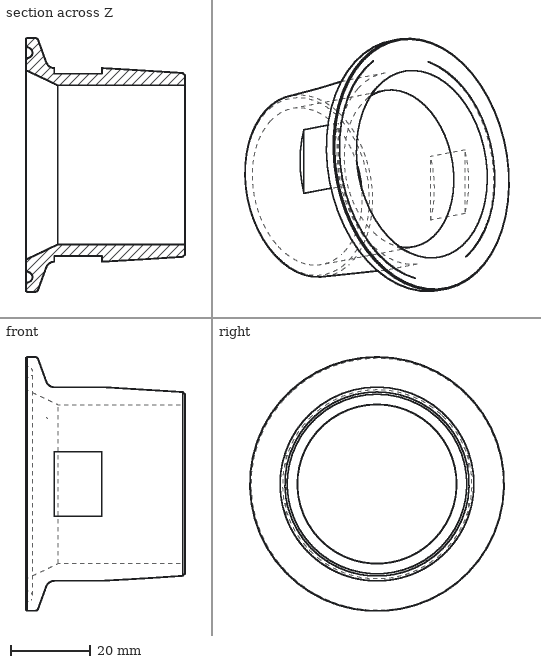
import cadquery as cq
import math

LENGTH = 40.0
FLANGE_RADIUS = 32.0

FACE_CHAMFER = 0.25
RIM_END = 2.25
BACK_SLOPE = 70.0
CORNER_RADIUS = 0.9
NECK_FILLET = 2.1

NECK_RADIUS = 24.4
TAPER_START = 19.7
TAPER_END_RADIUS = 23.2
END_CHAMFER = 0.6

FLAT_END = 19.1
FLAT_DISTANCE = 23.0

BORE_DIAMETER = 40.0
BORE_RADIUS = BORE_DIAMETER / 2
MOUTH_RADIUS = 23.8
MOUTH_DEPTH = 8.0

GROOVE_OUTER = 30.3
GROOVE_INNER = 26.25
GROOVE_DEPTH = 1.6
GROOVE_LIP_RADIUS = 0.8
GROOVE_WALL_SLOPE = 70.0

slope = math.radians(BACK_SLOPE)
half_slope = slope / 2
corner_end_x = RIM_END + CORNER_RADIUS * math.sin(slope)
corner_end_r = FLANGE_RADIUS - CORNER_RADIUS * (1 - math.cos(slope))
fillet_start_r = NECK_RADIUS + NECK_FILLET * (1 - math.cos(slope))
fillet_start_x = corner_end_x + (corner_end_r - fillet_start_r) / math.tan(slope)
neck_start = fillet_start_x + NECK_FILLET * math.sin(slope)


def revolve_about_x(profile):
    return profile.close().revolve(360, (0, 0, 0), (1, 0, 0))


def make_body():
    corner_mid = (
        RIM_END + CORNER_RADIUS * math.sin(half_slope),
        FLANGE_RADIUS - CORNER_RADIUS * (1 - math.cos(half_slope)),
    )
    fillet_mid = (
        neck_start - NECK_FILLET * math.sin(half_slope),
        NECK_RADIUS + NECK_FILLET * (1 - math.cos(half_slope)),
    )
    profile = (
        cq.Workplane("XZ")
        .moveTo(0, MOUTH_RADIUS)
        .lineTo(0, FLANGE_RADIUS - FACE_CHAMFER)
        .lineTo(FACE_CHAMFER, FLANGE_RADIUS)
        .lineTo(RIM_END, FLANGE_RADIUS)
        .threePointArc(corner_mid, (corner_end_x, corner_end_r))
        .lineTo(fillet_start_x, fillet_start_r)
        .threePointArc(fillet_mid, (neck_start, NECK_RADIUS))
        .lineTo(TAPER_START, NECK_RADIUS)
        .lineTo(LENGTH - END_CHAMFER, TAPER_END_RADIUS)
        .lineTo(LENGTH, TAPER_END_RADIUS - END_CHAMFER)
        .lineTo(LENGTH, BORE_RADIUS)
        .lineTo(MOUTH_DEPTH, BORE_RADIUS)
    )
    return revolve_about_x(profile)


def make_gasket_groove():
    """Ring with a round floor, sloping walls and rounded lips, all tangent."""
    half_width = (GROOVE_OUTER - GROOVE_INNER) / 2
    center = (GROOVE_OUTER + GROOVE_INNER) / 2
    lean = math.radians(GROOVE_WALL_SLOPE)
    arc_rise = 1 - math.cos(lean)
    arc_run = math.sin(lean)
    determinant = arc_run**2 - arc_rise * math.cos(lean)
    wall_length = (GROOVE_DEPTH * arc_run - half_width * arc_rise) / determinant
    wall_run = wall_length * math.cos(lean)
    wall_rise = wall_length * math.sin(lean)
    lip_run = GROOVE_LIP_RADIUS * arc_run
    lip_rise = GROOVE_LIP_RADIUS * arc_rise
    lip_mid_run = GROOVE_LIP_RADIUS * math.sin(lean / 2)
    lip_mid_rise = GROOVE_LIP_RADIUS * (1 - math.cos(lean / 2))
    floor_start_x = lip_rise + wall_rise
    floor_inset = lip_run + wall_run
    profile = (
        cq.Workplane("XZ")
        .moveTo(0, GROOVE_INNER)
        .threePointArc(
            (lip_mid_rise, GROOVE_INNER + lip_mid_run),
            (lip_rise, GROOVE_INNER + lip_run),
        )
        .lineTo(floor_start_x, GROOVE_INNER + floor_inset)
        .threePointArc(
            (GROOVE_DEPTH, center),
            (floor_start_x, GROOVE_OUTER - floor_inset),
        )
        .lineTo(lip_rise, GROOVE_OUTER - lip_run)
        .threePointArc(
            (lip_mid_rise, GROOVE_OUTER - lip_mid_run),
            (0, GROOVE_OUTER),
        )
    )
    return revolve_about_x(profile)


def make_flat_cutter(side):
    """Block outside one wrench flat; side is -1 or +1 along Y."""
    depth = FLANGE_RADIUS - FLAT_DISTANCE
    middle_y = side * (FLAT_DISTANCE + depth / 2)
    return (
        cq.Workplane("XY")
        .box(FLAT_END - neck_start, depth, 2 * FLANGE_RADIUS)
        .translate(((neck_start + FLAT_END) / 2, middle_y, 0))
    )


result = make_body().cut(make_gasket_groove())
for flat_side in (-1, 1):
    result = result.cut(make_flat_cutter(flat_side))